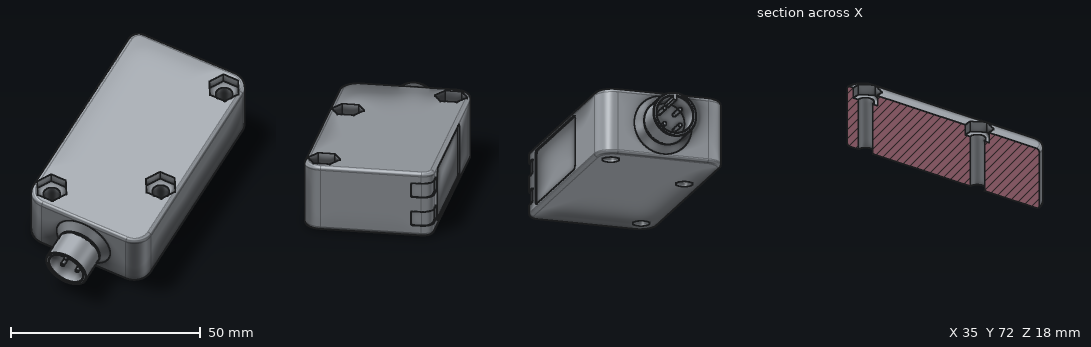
import cadquery as cq

TOTAL_LENGTH = 72.0
PLUG_REACH = 10.0
WIDTH = 35.0
HEIGHT = 18.0
LENGTH = TOTAL_LENGTH - PLUG_REACH

CORNER_RADIUS = 5.0
WINDOW_CORNER_RADIUS = 3.0
RIM_FILLET = 1.0

HOLE_DIAMETER = 4.5
NUT_ACROSS_CORNERS = 8.8
NUT_DEPTH = 3.0
HOLE_SIDE_INSET = 5.0
HOLE_END_INSET = 6.0
HOLE_SPACING = 36.0

LABEL_LENGTH = 33.1
LABEL_HEIGHT = 15.0
LABEL_END_INSET = 7.9
LABEL_RADIUS = 1.0
LABEL_DEPTH = 0.4

SLOT_HEIGHT = 3.95
SLOT_SPACING = 8.0
SLOT_REACH = 5.75
SLOT_RADIUS = 0.5
SLOT_DEPTH = 0.4

CONE_BASE_DIAMETER = 16.0
CONE_LENGTH = 2.0
NECK_LENGTH = 0.4
NECK_DIAMETER = 11.2
SHELL_DIAMETER = 12.0
SHELL_BORE = 10.1
SHELL_CHAMFER = 0.2
BORE_DEPTH = 7.2
KEY_WIDTH = 1.0
KEY_TIP_RADIUS = 4.0
PIN_DIAMETER = 1.0
PIN_SPACING = 4.3
PIN_SETBACK = 2.15

LEFT = -WIDTH / 2
RIGHT = WIDTH / 2


def housing_block():
    """Block with rounded vertical corners, before the rim is filleted."""
    block = cq.Workplane("XY").box(WIDTH, LENGTH, HEIGHT).translate((0, LENGTH / 2, 0))
    block = block.edges("|Z and (<Y or >X)").fillet(CORNER_RADIUS)
    return block.edges("|Z and <X and >Y").fillet(WINDOW_CORNER_RADIUS)


def cylinder(diameter, y_start, y_end):
    """Cylinder on the plug axis from y_start toward -Y, down to y_end."""
    return cq.Workplane("XZ", origin=(0, y_start, 0)).circle(diameter / 2).extrude(y_start - y_end)


def cut_mounting_holes(body):
    right_x = RIGHT - HOLE_SIDE_INSET
    far_y = LENGTH - HOLE_END_INSET
    centers = [
        (right_x, far_y),
        (right_x, far_y - HOLE_SPACING),
        (LEFT + HOLE_SIDE_INSET, HOLE_END_INSET),
    ]
    top = cq.Workplane("XY", origin=(0, 0, HEIGHT / 2)).pushPoints(centers)
    holes = top.circle(HOLE_DIAMETER / 2).extrude(-HEIGHT)
    pockets = top.polygon(6, NUT_ACROSS_CORNERS).extrude(-NUT_DEPTH)
    return body.cut(holes).cut(pockets)


def cut_label_recess(body):
    center_y = LENGTH - LABEL_END_INSET - LABEL_LENGTH / 2
    recess = (
        cq.Workplane("XY")
        .box(2 * LABEL_DEPTH, LABEL_LENGTH, LABEL_HEIGHT)
        .edges("|X")
        .fillet(LABEL_RADIUS)
        .translate((LEFT, center_y, 0))
    )
    return body.cut(recess)


def cut_corner_slots(body):
    block = housing_block()
    core = block.faces("<Z").wires().toPending().offset2D(-SLOT_DEPTH).extrude(HEIGHT, combine=False)
    skin = block.cut(core)
    along_side = (
        cq.Workplane("XY")
        .box(WINDOW_CORNER_RADIUS, SLOT_REACH, SLOT_HEIGHT)
        .edges("|X and <Y")
        .fillet(SLOT_RADIUS)
        .translate((LEFT + WINDOW_CORNER_RADIUS / 2, LENGTH - SLOT_REACH / 2, 0))
    )
    along_end = (
        cq.Workplane("XY")
        .box(SLOT_REACH, WINDOW_CORNER_RADIUS, SLOT_HEIGHT)
        .edges("|Y and >X")
        .fillet(SLOT_RADIUS)
        .translate((LEFT + SLOT_REACH / 2, LENGTH - WINDOW_CORNER_RADIUS / 2, 0))
    )
    slot = along_side.union(along_end).intersect(skin)
    for z in (-SLOT_SPACING / 2, SLOT_SPACING / 2):
        body = body.cut(slot.translate((0, 0, z)))
    return body


def plug():
    neck_start = -CONE_LENGTH
    shell_start = neck_start - NECK_LENGTH
    tip = -PLUG_REACH
    floor = tip + BORE_DEPTH

    cone = (
        cq.Workplane("XZ")
        .circle(CONE_BASE_DIAMETER / 2)
        .workplane(offset=CONE_LENGTH)
        .circle(SHELL_DIAMETER / 2)
        .loft()
    )
    neck = cylinder(NECK_DIAMETER, neck_start, shell_start)
    shell = cylinder(SHELL_DIAMETER, shell_start, tip).cut(cylinder(SHELL_BORE, floor, tip))
    shell = shell.faces("<Y").chamfer(SHELL_CHAMFER)

    key_height = (SHELL_BORE + SHELL_DIAMETER) / 4 - KEY_TIP_RADIUS
    key = cq.Workplane("XY").box(KEY_WIDTH, BORE_DEPTH, key_height)
    key = key.translate((0, floor - BORE_DEPTH / 2, KEY_TIP_RADIUS + key_height / 2))

    pins = (
        cq.Workplane("XZ", origin=(0, floor, 0))
        .rect(PIN_SPACING, PIN_SPACING, forConstruction=True)
        .vertices()
        .circle(PIN_DIAMETER / 2)
        .extrude(BORE_DEPTH - PIN_SETBACK)
    )
    return cone.union(neck).union(shell).union(key).union(pins)


housing = housing_block().faces("<Z or >Z").edges().fillet(RIM_FILLET)
housing = cut_mounting_holes(housing)
housing = cut_label_recess(housing)
housing = cut_corner_slots(housing)

result = housing.union(plug())